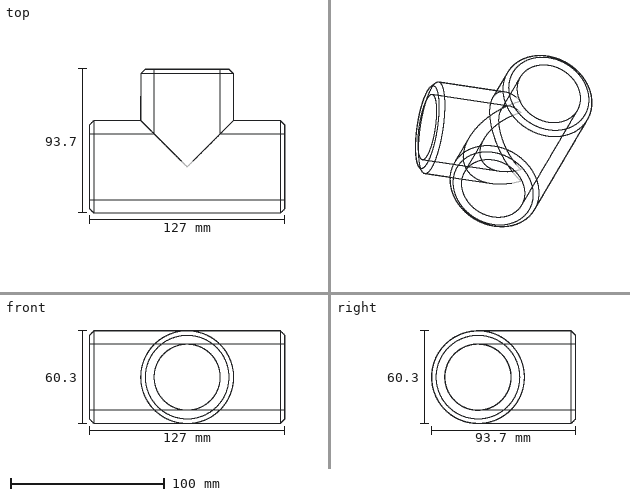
import cadquery as cq

outer_diameter = 60.33
bore_diameter = 42.9
center_to_end = 63.5
run_length = 2 * center_to_end
bevel_length = 3.0
bevel_depth = 3.0


def cylinder_along_run(diameter):
    """Full-length cylinder on the X axis, centered on the origin."""
    return cq.Workplane("YZ").circle(diameter / 2).extrude(center_to_end, both=True)


def cylinder_along_branch(diameter):
    """Cylinder on the Y axis from the center of the tee to the branch end."""
    return cq.Workplane("XZ").circle(diameter / 2).extrude(-center_to_end)


def bevel_end(pipe, end_face):
    """Bevel the outer rim of one pipe end."""
    rim = pipe.faces(end_face).edges()
    return rim.chamfer(bevel_length, bevel_depth)


run = cylinder_along_run(outer_diameter)
for end_face in ("<X", ">X"):
    run = bevel_end(run, end_face)

branch = bevel_end(cylinder_along_branch(outer_diameter), ">Y")

bore = cylinder_along_run(bore_diameter).union(cylinder_along_branch(bore_diameter))

result = run.union(branch).cut(bore)